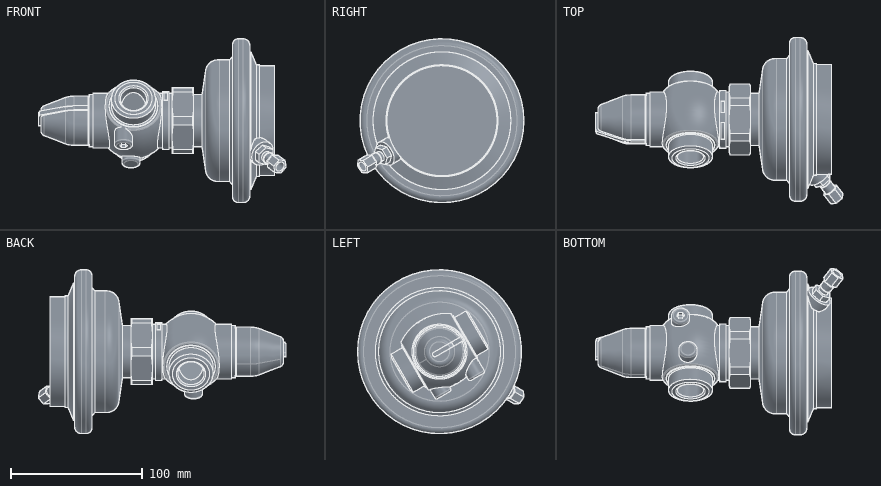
import cadquery as cq
import math


TILT = 30.0

CAP_FACE_X = 1.9
CAP_FACE_RADIUS = 7.5
CAP_RIM_X = 4.5
CAP_RIM_RADIUS = 11.5
CAP_CONE_END_X = 20.6
CAP_CONE_END_RADIUS = 17.8
CAP_BARREL_X = 27.4
CAP_BARREL_RADIUS = 18.9
CAP_END_X = 38.0
CAP_GROOVE_RADIUS = 18.0
COLLAR_X = 38.7
COLLAR_RADIUS = 20.0
NECK_X = 41.5
NECK_RADIUS = 21.0

POINTER_WIDTH = 3.5
POINTER_TAIL = 5.9
POINTER_END_ROUND = 1.7
POINTER_HEIGHT = 1.0

BODY_X = 72.5
BODY_RADIUS = 27.8
BODY_END_RADIUS = 20.8
BODY_HALF_WIDTH = 22.1
BODY_END_FILLET = 1.0
PORT_RADIUS = 16.8
PORT_LENGTH = 34.0
PORT_CHAMFER_LENGTH = 1.1
PORT_CHAMFER_DEPTH = 2.6
PORT_BORE_RADIUS = 10.0
PORT_BORE_DEPTH = 8.5
PORT_FLOOR_SLOPE = 50.0
PORT_BORE_CHAMFER = 1.1
PORT_SEAT_RADIUS = 18.5
PORT_SEAT_HEIGHT = 0.8

SOCKET_PLUG = (65.0, -15.3, 31.0)
BLIND_PLUG = (70.7, 13.8, 30.2)
PLUG_RADIUS = 7.0
PLUG_FILLET = 1.5
SOCKET_RADIUS = 2.8
SOCKET_DEPTH = 3.8

BAND_X = 94.9
BAND_WIDTH = 5.0
BAND_RADIUS = 22.1
WINDOW_MARGIN = 1.1
WINDOW_DEPTH = 0.8
BAND_WINDOWS = ((6, 38), (-40, 26))
NUT_X = 102.0
NUT_WIDTH = 16.5
NUT_ACROSS_FLATS = 50.3
NUT_CORNER_FLATS = 54.2
NUT_CHAMFER = 1.1
NUT_CHAMFER_DEPTH = 2.8
STEM_RADIUS = 20.0
HEX_STEP = 60.0

DOME_X = 124.7
DOME_SHOULDER_X = 127.4
DOME_SHOULDER_RADIUS = 37.8
DOME_BARREL_X = 138.0
DOME_RADIUS = 46.5
DOME_FLARE_X = 145.9
FLARE_RADIUS = 49.0
RIM_X = 148.0
RIM_END_X = 161.4
COVER_CONE_X = 162.1
RIM_RADIUS = 62.5
RIM_FRONT_FILLET = 4.5
RIM_BACK_FILLET = 5.3
COVER_CONE_RADIUS = 52.5
COVER_CONE_END_X = 166.3
COVER_STEP_X = 168.5
COVER_STEP_RADIUS = 42.7
COVER_RADIUS = 42.0
COVER_END_X = 180.1

FITTING_SLOPE = 56.0
FITTING_END_X = 184.3
FITTING_END_OFFSET = 70.0
CAP_NUT_FLATS = 10.5
CAP_NUT_LENGTH = 9.6
CAP_NUT_TURN = -9.0
SLEEVE_RADIUS = 4.5
SLEEVE_LENGTH = 6.5
WAIST_RADIUS = 4.0
WAIST_LENGTH = 3.0
LOCK_NUT_FLATS = 12.9
LOCK_NUT_LENGTH = 5.0
BASE_RADIUS = 9.8
BASE_LENGTH = 7.5
LINE_BORE_RADIUS = 3.8
LINE_BORE_DEPTH = 7.5


def cylinder_along_x(start, end, radius):
    return cq.Workplane("YZ", origin=(start, 0, 0)).circle(radius).extrude(end - start)


def revolved(profile):
    return profile.close().revolve(360, (0, 0, 0), (1, 0, 0))


def make_cap_and_necks():
    """Adjusting cap, collar and the necks on both sides of the body."""
    rim_slope = (CAP_CONE_END_X - CAP_RIM_X, CAP_CONE_END_RADIUS - CAP_RIM_RADIUS)
    profile = (
        cq.Workplane("XY")
        .moveTo(CAP_FACE_X, 0)
        .lineTo(CAP_FACE_X, CAP_FACE_RADIUS)
        .tangentArcPoint((CAP_RIM_X, CAP_RIM_RADIUS), relative=False)
        .lineTo(CAP_CONE_END_X, CAP_CONE_END_RADIUS)
        .spline([(CAP_BARREL_X, CAP_BARREL_RADIUS)], tangents=[rim_slope, (1, 0)], includeCurrent=True)
        .lineTo(CAP_END_X, CAP_BARREL_RADIUS)
        .lineTo(CAP_END_X, CAP_GROOVE_RADIUS)
        .lineTo(COLLAR_X, CAP_GROOVE_RADIUS)
        .lineTo(COLLAR_X, COLLAR_RADIUS)
        .lineTo(NECK_X, COLLAR_RADIUS)
        .lineTo(NECK_X, NECK_RADIUS)
        .lineTo(NUT_X, NECK_RADIUS)
        .lineTo(NUT_X, 0)
    )
    return revolved(profile)


def make_pointer():
    """Rounded rib along the cap, running across the tip."""
    rib = (
        cq.Workplane("XY")
        .moveTo(0, POINTER_TAIL)
        .lineTo(0, -CAP_FACE_RADIUS - POINTER_HEIGHT)
        .lineTo(CAP_FACE_X / 2, -CAP_RIM_RADIUS)
        .lineTo(CAP_CONE_END_X, -CAP_CONE_END_RADIUS - POINTER_HEIGHT)
        .lineTo(CAP_BARREL_X, -CAP_BARREL_RADIUS - POINTER_HEIGHT)
        .lineTo(CAP_END_X, -CAP_BARREL_RADIUS - POINTER_HEIGHT)
        .lineTo(CAP_END_X, POINTER_TAIL)
        .close()
        .extrude(POINTER_WIDTH / 2, both=True)
    )
    return rib.edges("|X and >Y").fillet(POINTER_END_ROUND)


def make_port(side):
    """Threaded port with a seat ring; side is -1 or +1 along Y."""
    plane = cq.Plane(origin=(BODY_X, 0, 0), xDir=(1, 0, 0), normal=(0, side, 0))
    seat = cq.Workplane(plane).circle(PORT_SEAT_RADIUS).extrude(BODY_HALF_WIDTH + PORT_SEAT_HEIGHT)
    tube = cq.Workplane(plane).circle(PORT_RADIUS).extrude(PORT_LENGTH)
    rim = tube.faces("<Y" if side < 0 else ">Y").edges()
    return seat.union(rim.chamfer(PORT_CHAMFER_LENGTH, PORT_CHAMFER_DEPTH))


def make_port_bore(side):
    """Port bore whose flat floor slopes deeper from one side to the other."""
    floor_drop = 2 * PORT_BORE_RADIUS * math.tan(math.radians(PORT_FLOOR_SLOPE))
    shallow_y = PORT_LENGTH - PORT_BORE_DEPTH
    outline = (
        cq.Workplane("YZ")
        .moveTo(-PORT_LENGTH, -PORT_BORE_RADIUS)
        .lineTo(-PORT_LENGTH, PORT_BORE_RADIUS)
        .lineTo(-shallow_y, PORT_BORE_RADIUS)
        .lineTo(-shallow_y + floor_drop, -PORT_BORE_RADIUS)
        .close()
        .extrude(PORT_BORE_RADIUS, both=True)
    )
    plane = cq.Plane(origin=(0, -PORT_LENGTH, 0), xDir=(1, 0, 0), normal=(0, 1, 0))
    bore = cq.Workplane(plane).circle(PORT_BORE_RADIUS).extrude(PORT_LENGTH).intersect(outline)
    mouth = cq.Workplane("XY").add(
        cq.Solid.makeCone(
            PORT_BORE_RADIUS + PORT_BORE_CHAMFER,
            PORT_BORE_RADIUS,
            PORT_BORE_CHAMFER,
            cq.Vector(0, -PORT_LENGTH, 0),
            cq.Vector(0, 1, 0),
        )
    )
    half_turn = 0 if side < 0 else 180
    return bore.union(mouth).rotate((0, 0, 0), (1, 0, 0), half_turn).translate((BODY_X, 0, 0))


def make_ball():
    """Barrel-shaped body, revolved about the port axis."""
    return (
        cq.Workplane("XY", origin=(BODY_X, 0, 0))
        .moveTo(0, -BODY_HALF_WIDTH)
        .lineTo(BODY_END_RADIUS, -BODY_HALF_WIDTH)
        .threePointArc((BODY_RADIUS, 0), (BODY_END_RADIUS, BODY_HALF_WIDTH))
        .lineTo(0, BODY_HALF_WIDTH)
        .close()
        .revolve(360, (0, 0, 0), (0, 1, 0))
        .faces("<Y or >Y")
        .edges()
        .fillet(BODY_END_FILLET)
    )


def make_plug(x, y, length):
    """Round plug hanging below the body."""
    plug = cq.Workplane("XY", origin=(x, y, -length)).circle(PLUG_RADIUS).extrude(length)
    return plug.faces("<Z").edges().fillet(PLUG_FILLET)


def make_socket(x, y, length):
    """Small hexagon socket in the end of a plug."""
    return cq.Workplane("XY", origin=(x, y, -length)).polygon(6, 2 * SOCKET_RADIUS).extrude(SOCKET_DEPTH)


def make_band():
    """Seal band with two shallow windows."""
    band = cylinder_along_x(BAND_X, BAND_X + BAND_WIDTH, BAND_RADIUS)
    for start, sweep in BAND_WINDOWS:
        window = (
            cq.Workplane("XZ")
            .moveTo(BAND_X + WINDOW_MARGIN, BAND_RADIUS - WINDOW_DEPTH)
            .rect(BAND_WIDTH - 2 * WINDOW_MARGIN, 2 * WINDOW_DEPTH, centered=(False, False))
            .revolve(sweep, (0, 0, 0), (1, 0, 0))
            .rotate((0, 0, 0), (1, 0, 0), start)
        )
        band = band.cut(window)
    return band


def hexagon(plane, across_flats, length):
    return cq.Workplane(plane).polygon(6, across_flats, circumscribed=True).extrude(length)


def make_nut():
    """Hexagon nut with trimmed corners and turned end chamfers."""
    plane = cq.Plane(origin=(NUT_X, 0, 0), xDir=(0, 0, 1), normal=(1, 0, 0))
    trim = hexagon(plane, NUT_CORNER_FLATS, NUT_WIDTH).rotate((0, 0, 0), (1, 0, 0), HEX_STEP / 2)
    corner_radius = NUT_CORNER_FLATS / 2 / math.cos(math.radians(HEX_STEP / 4))
    turned = cylinder_along_x(NUT_X, NUT_X + NUT_WIDTH, corner_radius)
    turned = turned.faces("<X or >X").edges().chamfer(NUT_CHAMFER, NUT_CHAMFER_DEPTH)
    return hexagon(plane, NUT_ACROSS_FLATS, NUT_WIDTH).intersect(trim).intersect(turned)


def make_housing():
    """Stem, dome, clamped rim and cover as one turned profile."""
    dome_mid = (
        DOME_BARREL_X - (DOME_BARREL_X - DOME_SHOULDER_X) * math.sqrt(0.5),
        DOME_SHOULDER_RADIUS + (DOME_RADIUS - DOME_SHOULDER_RADIUS) * math.sqrt(0.5),
    )
    profile = (
        cq.Workplane("XY")
        .moveTo(NUT_X, 0)
        .lineTo(NUT_X, STEM_RADIUS)
        .lineTo(DOME_X, STEM_RADIUS)
        .lineTo(DOME_SHOULDER_X, DOME_SHOULDER_RADIUS)
        .threePointArc(dome_mid, (DOME_BARREL_X, DOME_RADIUS))
        .lineTo(DOME_FLARE_X, DOME_RADIUS)
        .lineTo(RIM_X, FLARE_RADIUS)
        .lineTo(RIM_X, RIM_RADIUS - RIM_FRONT_FILLET)
        .tangentArcPoint((RIM_X + RIM_FRONT_FILLET, RIM_RADIUS), relative=False)
        .lineTo(RIM_END_X - RIM_BACK_FILLET, RIM_RADIUS)
        .tangentArcPoint((RIM_END_X, RIM_RADIUS - RIM_BACK_FILLET), relative=False)
        .lineTo(RIM_END_X, COVER_CONE_RADIUS)
        .lineTo(COVER_CONE_X, COVER_CONE_RADIUS)
        .lineTo(COVER_CONE_END_X, COVER_STEP_RADIUS)
        .lineTo(COVER_STEP_X, COVER_STEP_RADIUS)
        .lineTo(COVER_STEP_X, COVER_RADIUS)
        .lineTo(COVER_END_X, COVER_RADIUS)
        .lineTo(COVER_END_X, 0)
    )
    return revolved(profile)


def make_fitting():
    """Hose fitting that leans outward from the housing cover."""
    slope = math.radians(FITTING_SLOPE)
    inward = (-math.cos(slope), math.sin(slope), 0)
    sideways = (math.sin(slope), math.cos(slope), 0)
    plane = cq.Plane(origin=(FITTING_END_X, -FITTING_END_OFFSET, 0), xDir=sideways, normal=inward)

    def at(depth):
        return cq.Workplane(plane).workplane(offset=depth)

    sleeve_start = CAP_NUT_LENGTH
    waist_start = sleeve_start + SLEEVE_LENGTH
    lock_start = waist_start + WAIST_LENGTH
    base_start = lock_start + LOCK_NUT_LENGTH
    cap_nut = hexagon(plane, CAP_NUT_FLATS, CAP_NUT_LENGTH)
    cap_nut = cap_nut.rotate(plane.origin.toTuple(), (plane.origin + plane.zDir).toTuple(), CAP_NUT_TURN)
    sleeve = at(sleeve_start).circle(SLEEVE_RADIUS).extrude(SLEEVE_LENGTH)
    waist = at(waist_start).circle(WAIST_RADIUS).extrude(WAIST_LENGTH)
    lock_nut = at(lock_start).polygon(6, LOCK_NUT_FLATS, circumscribed=True).extrude(LOCK_NUT_LENGTH)
    base = at(base_start).circle(BASE_RADIUS).extrude(BASE_LENGTH)
    bore = at(0).circle(LINE_BORE_RADIUS).extrude(LINE_BORE_DEPTH)
    return cap_nut.union(sleeve).union(waist).union(lock_nut).union(base).cut(bore)


valve = make_cap_and_necks().union(make_pointer()).union(make_ball())
valve = valve.union(make_plug(*SOCKET_PLUG)).union(make_plug(*BLIND_PLUG))
for port_side in (-1, 1):
    valve = valve.union(make_port(port_side)).cut(make_port_bore(port_side))
valve = valve.cut(make_socket(*SOCKET_PLUG)).rotate((0, 0, 0), (1, 0, 0), -TILT)
fitting = make_fitting().rotate((0, 0, 0), (1, 0, 0), TILT)

result = make_housing().union(valve).union(make_band()).union(make_nut()).union(fitting)